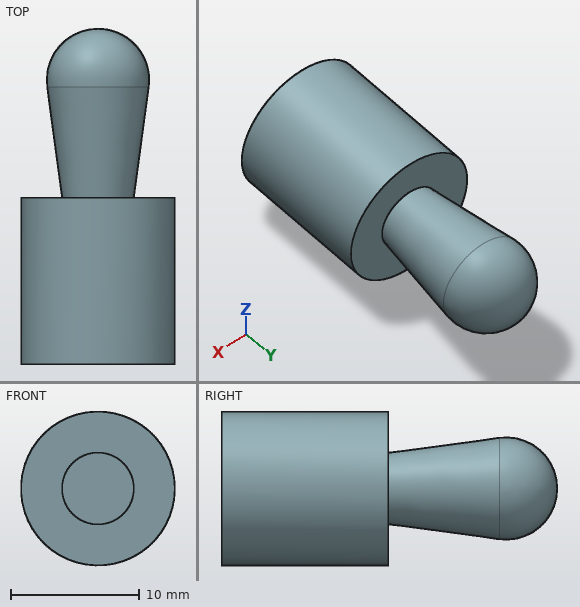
import cadquery as cq
import math

total_length = 26.17
sleeve_length = 13.0
sleeve_diameter = 12.0
shank_radius = 2.8
ball_radius = 4.0

sleeve_radius = sleeve_diameter / 2
ball_center_y = total_length - ball_radius

center_rise = ball_center_y - sleeve_length
center_distance = math.hypot(shank_radius, center_rise)
neck_half_angle = math.atan2(center_rise, shank_radius) - math.acos(ball_radius / center_distance)
tangent_radius = ball_radius * math.cos(neck_half_angle)
tangent_y = ball_center_y - ball_radius * math.sin(neck_half_angle)


def make_sleeve():
    """Plain round sleeve with a through bore for the pin shank."""
    profile = (
        cq.Workplane("XY")
        .moveTo(shank_radius, 0)
        .lineTo(sleeve_radius, 0)
        .lineTo(sleeve_radius, sleeve_length)
        .lineTo(shank_radius, sleeve_length)
        .close()
    )
    return profile.revolve(360, (0, 0), (0, 1))


def make_pin():
    """Straight shank flush with the sleeve end, flaring neck and ball tip."""
    profile = (
        cq.Workplane("XY")
        .lineTo(shank_radius, 0)
        .lineTo(shank_radius, sleeve_length)
        .lineTo(tangent_radius, tangent_y)
        .threePointArc(
            (ball_radius * math.sqrt(0.5), ball_center_y + ball_radius * math.sqrt(0.5)),
            (0, total_length),
        )
        .close()
    )
    return profile.revolve(360, (0, 0), (0, 1))


sleeve = make_sleeve()
pin = make_pin()

result = cq.Compound.makeCompound([sleeve.val(), pin.val()])